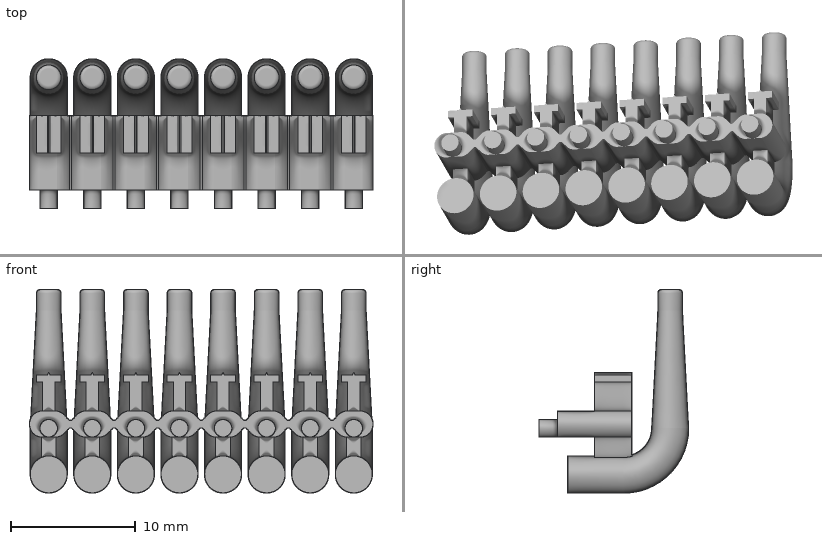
import cadquery as cq
import math

count = 8
overall_length = 27.62
bar_lobe_width = 3.12
pitch = (overall_length - bar_lobe_width) / (count - 1)

leg_radius = 1.5
leg_front = 2.32
leg_axis_z = leg_radius
bend_start_y = 6.82
bend_radius = 3.73
bend_top_z = leg_axis_z + bend_radius
upright_y = bend_start_y + bend_radius
tip_radius = 1.0
tip_start_z = 14.65
overall_height = 16.35
tip_fillet = 0.3

bar_front = 1.5
bar_back = 7.49
bar_bottom = 4.5
bar_height = 2.07
bar_axis_z = bar_bottom + bar_height / 2
lobe_flat_width = 1.4
neck_width = 0.17
neck_height = 0.64
flare_end_x = 1.2

pin_radius = lobe_flat_width / 2
pin_axis_z = bar_bottom + pin_radius

tab_front = 4.47
tab_depth = bar_back - tab_front
tab_top = 9.5
stem_width = 1.0
cap_width = 2.0
cap_height = 0.58
ridge_width = 0.22
ridge_height = 0.17
web_width = 1.2


def box_between(width, front, back, bottom, top):
    """Box centred on X, given by its Y and Z limits."""
    block = cq.Workplane("XY").box(width, back - front, top - bottom, centered=(True, False, False))
    return block.translate((0, front, bottom))


def rod_along_y(radius, front, back, axis_z):
    """Cylinder parallel to Y at X = 0, given by its Y limits and axis height."""
    return cq.Workplane("XZ", origin=(0, front, axis_z)).circle(radius).extrude(front - back)


def bent_leg():
    """Horizontal tube swept up through a quarter bend into a tapered, round-edged upright."""
    tube = rod_along_y(leg_radius, leg_front, bend_start_y, leg_axis_z)
    bend = (
        cq.Workplane("XZ", origin=(0, bend_start_y, leg_axis_z))
        .circle(leg_radius)
        .revolve(90, (-0.28, bend_radius, 0), (0.28, bend_radius, 0))
    )
    shoulder_z = overall_height - tip_fillet
    arc_mid_r = tip_radius - tip_fillet * (1 - math.sqrt(0.5))
    arc_mid_z = shoulder_z + tip_fillet * math.sqrt(0.5)
    upright = (
        cq.Workplane("XZ", origin=(0, upright_y, 0))
        .moveTo(0, bend_top_z)
        .lineTo(leg_radius, bend_top_z)
        .lineTo(tip_radius, tip_start_z)
        .lineTo(tip_radius, shoulder_z)
        .threePointArc((arc_mid_r, arc_mid_z), (tip_radius - tip_fillet, overall_height))
        .lineTo(0, overall_height)
        .close()
        .revolve(360, (0, 0, 0), (0, 1, 0))
    )
    return tube.union(bend).union(upright)


def bar_lobe():
    """Slice of the carrier bar around one contact: flat top and bottom, arced sides."""
    half_flat = lobe_flat_width / 2
    half_width = bar_lobe_width / 2
    half_height = bar_height / 2
    return (
        cq.Workplane("XZ", origin=(0, bar_front, bar_axis_z))
        .moveTo(-half_flat, half_height)
        .lineTo(half_flat, half_height)
        .threePointArc((half_width, 0), (half_flat, -half_height))
        .lineTo(-half_flat, -half_height)
        .threePointArc((-half_width, 0), (-half_flat, half_height))
        .close()
        .extrude(bar_front - bar_back)
    )


def bar_link():
    """Neck between two lobes, centred on X, flaring out to meet the side arcs of both lobes."""
    half_flat = lobe_flat_width / 2
    half_width = bar_lobe_width / 2
    half_height = bar_height / 2
    arc_center_x = (half_width**2 - half_flat**2 - half_height**2) / (2 * (half_width - half_flat))
    arc_radius = half_width - arc_center_x
    half_neck_width = neck_width / 2
    half_neck_height = neck_height / 2
    end_x = pitch / 2 - flare_end_x
    end_z = math.sqrt(arc_radius**2 - (flare_end_x - arc_center_x) ** 2)
    return (
        cq.Workplane("XZ", origin=(0, bar_front, bar_axis_z))
        .moveTo(-end_x, end_z)
        .lineTo(-half_neck_width, half_neck_height)
        .lineTo(half_neck_width, half_neck_height)
        .lineTo(end_x, end_z)
        .lineTo(end_x, -end_z)
        .lineTo(half_neck_width, -half_neck_height)
        .lineTo(-half_neck_width, -half_neck_height)
        .lineTo(-end_x, -end_z)
        .close()
        .extrude(bar_front - bar_back)
    )


def tab():
    """T-shaped tab with a small triangular ridge along its top."""
    stem = box_between(stem_width, tab_front, bar_back, bar_axis_z, tab_top)
    cap = box_between(cap_width, tab_front, bar_back, tab_top - cap_height, tab_top)
    ridge = (
        cq.Workplane("XZ", origin=(0, tab_front, tab_top))
        .moveTo(-ridge_width / 2, 0)
        .lineTo(0, ridge_height)
        .lineTo(ridge_width / 2, 0)
        .close()
        .extrude(-tab_depth)
    )
    return stem.union(cap).union(ridge)


def contact():
    """One complete contact with its share of the carrier bar."""
    pin = rod_along_y(pin_radius, 0, bar_front, pin_axis_z)
    web = box_between(web_width, tab_front, bar_back, leg_axis_z, bar_axis_z)
    return bent_leg().union(web).union(bar_lobe()).union(pin).union(tab())


one_contact = contact()
link = bar_link()
first_x = -pitch * (count - 1) / 2

result = one_contact.translate((first_x, 0, 0))
for i in range(1, count):
    x = first_x + i * pitch
    result = result.union(link.translate((x - pitch / 2, 0, 0)))
    result = result.union(one_contact.translate((x, 0, 0)))